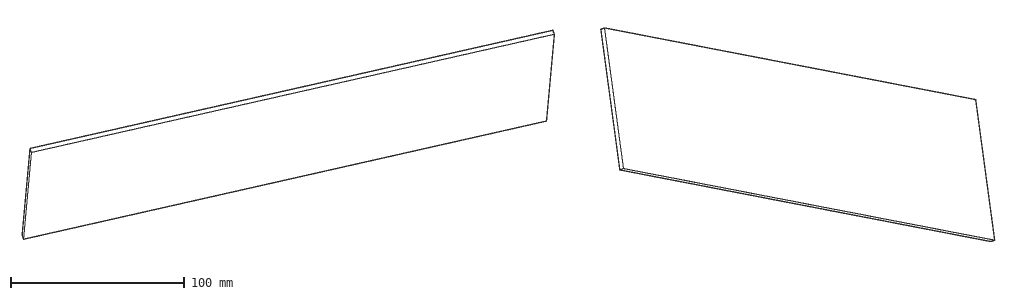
import cadquery as cq

length = 317.0
width = 85.5
thickness = 3.0
tilt_from_vertical = 10.0

upright_plate = cq.Workplane("XY").box(thickness, length, width)
result = upright_plate.rotate((0, 0, 0), (0, 1, 0), tilt_from_vertical)